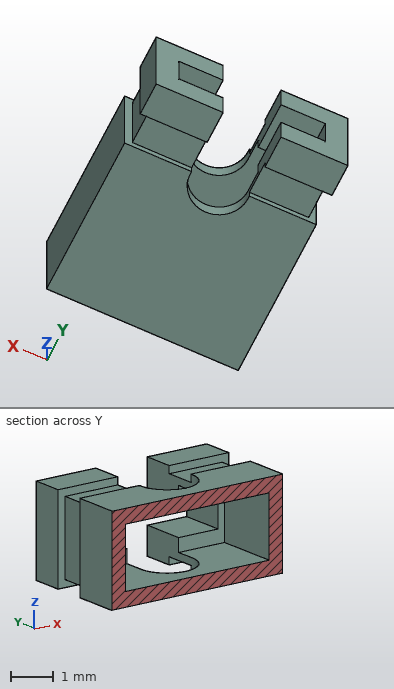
import cadquery as cq

width = 4.98
length = 5.97
height = 2.44
front_y = -length / 2
rear_y = length / 2

wall = 0.4
cavity_depth = 4.73

passage_width = 3.8
passage_height = 0.91

notch_width = 1.5
notch_depth = 2.54

rim_length = 0.87
groove_length = 0.85
groove_depth = 0.2


def box_along_y(box_width, box_height, start_y, box_length):
    """Box centred in X and Z that runs from start_y towards +Y."""
    return (
        cq.Workplane("XY")
        .box(box_width, box_length, box_height, centered=(True, False, True))
        .translate((0, start_y, 0))
    )


def hollow():
    cavity = box_along_y(width - 2 * wall, height - 2 * wall, front_y, cavity_depth)
    passage = box_along_y(passage_width, passage_height, front_y, length)
    return cavity.union(passage)


def notch():
    radius = notch_width / 2
    bottom_y = rear_y - notch_depth
    arc_start_y = bottom_y + radius
    return (
        cq.Workplane("XY")
        .workplane(offset=-height / 2)
        .moveTo(-radius, rear_y)
        .lineTo(-radius, arc_start_y)
        .threePointArc((0, bottom_y), (radius, arc_start_y))
        .lineTo(radius, rear_y)
        .close()
        .extrude(height)
    )


def grip_groove():
    start_y = rear_y - rim_length - groove_length
    core_width = width - 2 * groove_depth
    core_height = height - 2 * groove_depth
    ring = box_along_y(width, height, start_y, groove_length)
    return ring.cut(box_along_y(core_width, core_height, start_y, groove_length))


body = box_along_y(width, height, front_y, length)
result = body.cut(hollow()).cut(grip_groove()).cut(notch())